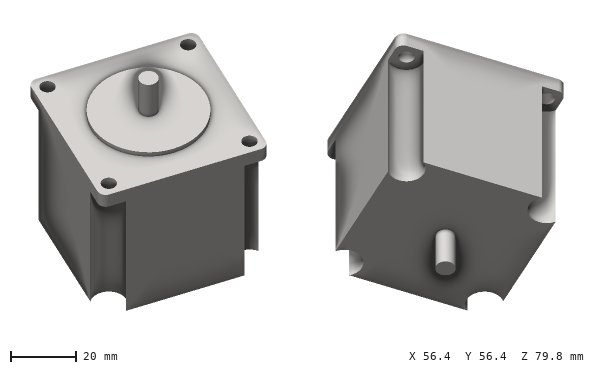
import cadquery as cq
import math

total_length = 79.8
width = 56.4

flange_thickness = 5.0
flange_corner_radius = 2.8
hole_spacing = 47.2
hole_diameter = 5.0

body_length = 46.3
rear_shaft_length = 13.25
boss_diameter = 38.1
boss_height = 1.75
shaft_diameter = 6.3

relief_opening = 8.3
hole_inset = (width - hole_spacing) / 2
relief_radius = math.hypot(hole_inset, relief_opening - hole_inset)

flange_top = body_length + flange_thickness

hole_centers = [
    (x_side * hole_spacing / 2, y_side * hole_spacing / 2)
    for x_side in (-1, 1)
    for y_side in (-1, 1)
]


def make_body():
    """Square body with rounded channels clearing the mounting screws."""
    body = cq.Workplane("XY").rect(width, width).extrude(body_length)
    channels = cq.Workplane("XY").pushPoints(hole_centers).circle(relief_radius).extrude(body_length)
    corner_offset = (width - relief_opening) / 2
    corner_cuts = (
        cq.Workplane("XY")
        .rect(2 * corner_offset, 2 * corner_offset, forConstruction=True)
        .vertices()
        .rect(relief_opening, relief_opening)
        .extrude(body_length)
    )
    return body.cut(channels).cut(corner_cuts)


def make_flange():
    """Rounded square plate with four through holes."""
    plate = (
        cq.Workplane("XY", origin=(0, 0, body_length))
        .rect(width, width)
        .extrude(flange_thickness)
        .edges("|Z")
        .fillet(flange_corner_radius)
    )
    return plate.faces(">Z").workplane().pushPoints(hole_centers).hole(hole_diameter)


def make_boss():
    """Round pilot boss on the flange."""
    return cq.Workplane("XY", origin=(0, 0, flange_top)).circle(boss_diameter / 2).extrude(boss_height)


def make_shaft():
    """Shaft running through the motor and out of both ends."""
    return (
        cq.Workplane("XY", origin=(0, 0, -rear_shaft_length))
        .circle(shaft_diameter / 2)
        .extrude(total_length)
    )


result = make_body().union(make_flange()).union(make_boss()).union(make_shaft())